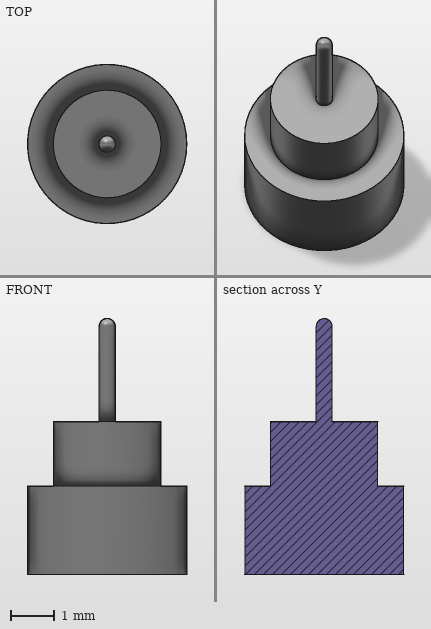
import cadquery as cq

total_height = 5.95
base_diameter = 3.7
base_height = 2.05
collar_diameter = 2.5
collar_height = 1.5
insert_diameter = 1.95
pin_diameter = 0.38

collar_top = base_height + collar_height
pin_radius = pin_diameter / 2
pin_length = total_height - collar_top


def cylinder(diameter, height, bottom):
    """Upright cylinder on the Z axis, starting at the given height."""
    return cq.Workplane("XY").workplane(offset=bottom).circle(diameter / 2).extrude(height)


def round_tipped_pin():
    """Pin standing on the collar, ending in a hemisphere."""
    shank = cylinder(pin_diameter, pin_length - pin_radius, collar_top)
    tip = cq.Workplane("XY").sphere(pin_radius).translate((0, 0, total_height - pin_radius))
    return shank.union(tip)


base = cylinder(base_diameter, base_height, 0)
collar = cylinder(collar_diameter, collar_height, base_height)
insert = cylinder(insert_diameter, collar_height, base_height)
shell = base.union(collar).cut(insert)

result = shell.union(insert, clean=False).union(round_tipped_pin(), clean=False)